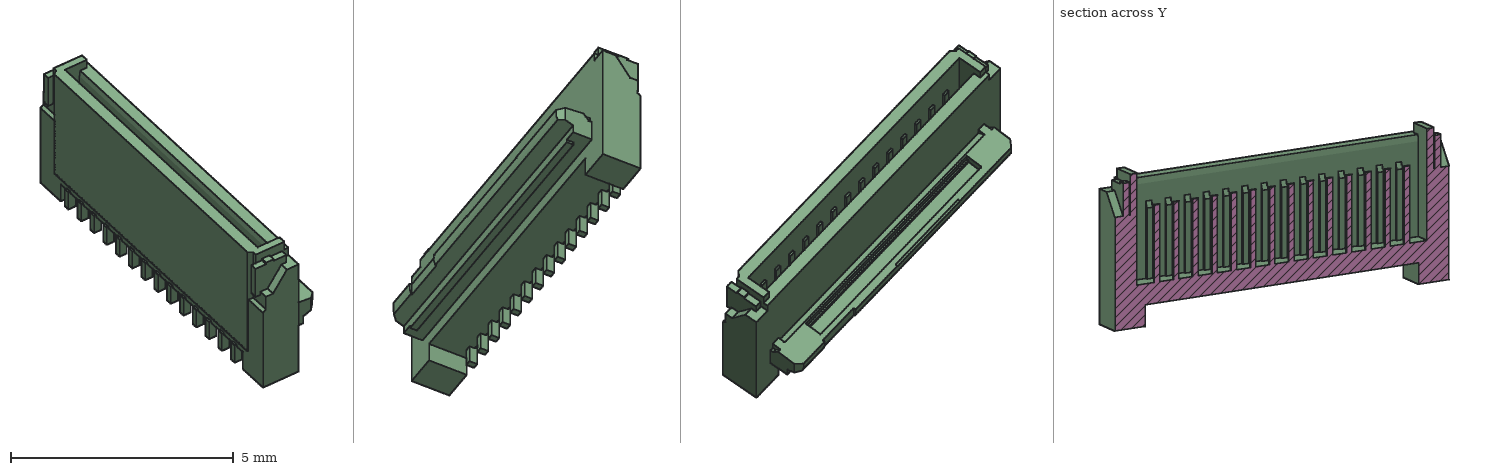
import cadquery as cq


length = 8.7
height = 3.6
front_panel_y = 0.03
post_front_y = 0.055
housing_back_y = 1.03
back_wall_top = 3.37
side_wall_back_y = 0.92
underside_z = 0.5
panel_bottom_z = 0.68
tower_half = 3.955
panel_half = 3.77
corner_setback = 0.085
recess_y = 0.135
leg_inner_x = 3.555

post_top_z = 3.155
slope_top_y = 0.71
slope_bottom_y = 0.33
slope_bottom_z = 2.635
recess_bottom_z = 2.265
post_front_top_z = 2.2

cavity_half = 3.765
cavity_front_y = 0.318
cavity_back_y = 0.715
cavity_floor_z = 1.0
lead_in_back_y = 0.735
lead_in_depth = 0.15

pin_count = 14
pin_pitch = 0.5
pin_width = 0.15
pin_depth = 0.2
pin_bottom_z = 0.05
pin_top_z = 0.553
contact_thickness = 0.055
contact_top_z = 2.8
contact_bevel = 0.15

clip_inner_x = 3.97
clip_outer_x = 4.135
clip_back_y = 0.845
clip_bottom_z = 2.545
clip_bump_front_y = 0.29
clip_bump_back_y = 0.5
clip_bump_height = 0.045

actuator_half = 3.85
actuator_back_y = 1.87
actuator_front_top_z = 1.55
actuator_back_top_z = 1.475
actuator_bottom_z = 0.84
heel_y = 1.515
heel_z = 1.045
nose_y = 1.84
nose_bottom_z = 1.175
nose_top_z = 1.29
actuator_corner = 0.15
foot_front_y = 1.34
foot_bottom_z = 0.77
foot_half = 3.56
ear_inner_x = 3.767
ear_back_y = 1.25
ear_front_y = 1.11
ear_bottom_z = 1.375
bevel_half = 3.56
bevel_back_y = 1.21
bevel_bottom_z = 1.417
window_half = 2.87
window_front_y = 1.26
window_ledge_y = 1.31
window_back_y = 1.68
window_ledge_z = 1.4
window_depth = 0.2
window_wall_slant = 0.035
rear_cut_y = 1.815
rear_notch_start_x = 1.85
rear_notch_end_x = 2.95
rear_bevel_start_x = -1.87
rear_bevel_end_x = 0.36
rear_bevel_drop = 0.02

overlap = 0.1


def box(x0, x1, y0, y1, z0, z1):
    return cq.Workplane("XY").box(x1 - x0, y1 - y0, z1 - z0, centered=False).translate((x0, y0, z0))


def yz_prism(x0, x1, profile):
    """Extrude a (y, z) outline from x0 to x1."""
    return cq.Workplane("YZ").polyline(profile).close().extrude(x1 - x0).translate((x0, 0, 0))


def both_ends(body):
    return body.union(body.mirror("YZ"))


def make_tower():
    """Central block with bevelled front corners, stepped top and mating cavity."""
    bevel_x = panel_half + corner_setback
    plan = [
        (-panel_half, front_panel_y),
        (panel_half, front_panel_y),
        (bevel_x, recess_y),
        (tower_half, recess_y),
        (tower_half, housing_back_y),
        (-tower_half, housing_back_y),
        (-tower_half, recess_y),
        (-bevel_x, recess_y),
    ]
    tower = cq.Workplane("XY").polyline(plan).close().extrude(height - underside_z)
    tower = tower.translate((0, 0, underside_z))
    tower = tower.cut(box(-tower_half, tower_half, 0, post_front_y, underside_z, panel_bottom_z))
    tower = tower.cut(box(-tower_half, tower_half, side_wall_back_y, housing_back_y, back_wall_top, height))
    tower = tower.cut(box(-cavity_half, cavity_half, cavity_back_y, housing_back_y, back_wall_top, height))
    tower = tower.cut(box(-cavity_half, cavity_half, cavity_front_y, cavity_back_y, cavity_floor_z, height))
    lead_in = yz_prism(-cavity_half, cavity_half, [
        (cavity_back_y, back_wall_top - lead_in_depth),
        (lead_in_back_y, back_wall_top),
        (cavity_back_y, back_wall_top),
    ])
    panel_edge = box(panel_half, tower_half, 0, post_front_y, underside_z, post_front_top_z)
    return tower.cut(lead_in).cut(both_ends(panel_edge))


def make_posts():
    """End posts with a sloping shoulder, standing on wider legs."""
    profile = [
        (post_front_y, 0),
        (housing_back_y, 0),
        (housing_back_y, post_top_z),
        (slope_top_y, post_top_z),
        (slope_bottom_y, slope_bottom_z),
        (recess_y, slope_bottom_z),
        (recess_y, recess_bottom_z),
        (post_front_y, post_front_top_z),
    ]
    post = yz_prism(cavity_half, length / 2, profile)
    leg = box(leg_inner_x, length / 2, post_front_y, housing_back_y, 0, panel_bottom_z)
    return both_ends(post.union(leg))


def make_clips():
    """Thin plates beside the tower, each with a small raised bump on top."""
    plate = box(clip_inner_x, clip_outer_x, 0, clip_back_y, clip_bottom_z, back_wall_top)
    bump_top_z = back_wall_top + clip_bump_height
    bump = box(clip_inner_x, clip_outer_x, clip_bump_front_y, clip_bump_back_y, clip_bottom_z, bump_top_z)
    return both_ends(plate.union(bump))


def make_pin(x):
    """One solder pin with its two contacts inside the cavity."""
    x0 = x - pin_width / 2
    x1 = x + pin_width / 2
    pin = box(x0, x1, 0, pin_depth, pin_bottom_z, pin_top_z)
    contact_base_z = cavity_floor_z - overlap
    front_contact = box(
        x0, x1, cavity_front_y - overlap, cavity_front_y + contact_thickness, contact_base_z, contact_top_z
    )
    back_contact_y = cavity_back_y - contact_thickness
    back_contact = yz_prism(x0, x1, [
        (back_contact_y, contact_base_z),
        (cavity_back_y + overlap, contact_base_z),
        (cavity_back_y + overlap, contact_top_z),
        (cavity_back_y, contact_top_z),
        (back_contact_y, contact_top_z - contact_bevel),
    ])
    return pin.union(front_contact).union(back_contact)


def actuator_top_z(y):
    """Height of the actuator's gently falling top face at depth y."""
    fraction = (y - housing_back_y) / (actuator_back_y - housing_back_y)
    return actuator_front_top_z + fraction * (actuator_back_top_z - actuator_front_top_z)


def make_actuator():
    """Bar behind the housing with bevelled ends, a top window and rear cuts."""
    front_y = housing_back_y - overlap
    body = yz_prism(-actuator_half, actuator_half, [
        (front_y, actuator_bottom_z),
        (heel_y, actuator_bottom_z),
        (heel_y, heel_z),
        (nose_y, nose_bottom_z),
        (actuator_back_y, nose_top_z),
        (actuator_back_y, actuator_back_top_z),
        (housing_back_y, actuator_front_top_z),
        (front_y, actuator_front_top_z),
    ])
    corner_cut = cq.Workplane("XY").polyline([
        (actuator_half - actuator_corner, actuator_back_y),
        (actuator_half, actuator_back_y - actuator_corner),
        (actuator_half, actuator_back_y),
    ]).close().extrude(height)
    ear_cut = yz_prism(ear_inner_x, actuator_half, [
        (housing_back_y, ear_bottom_z),
        (ear_front_y, ear_bottom_z),
        (ear_back_y, actuator_top_z(ear_back_y)),
        (ear_back_y, height),
        (housing_back_y, height),
    ])
    body = body.cut(both_ends(corner_cut)).cut(both_ends(ear_cut))

    front_bevel = yz_prism(-bevel_half, bevel_half, [
        (housing_back_y, bevel_bottom_z),
        (bevel_back_y, actuator_top_z(bevel_back_y)),
        (bevel_back_y, height),
        (housing_back_y, height),
    ])
    ledge = box(-window_half, window_half, window_front_y, window_ledge_y, window_ledge_z, height)
    window = yz_prism(-window_half, window_half, [
        (window_ledge_y, height),
        (window_ledge_y, actuator_top_z(window_ledge_y) - window_depth),
        (window_back_y - window_wall_slant, actuator_top_z(window_back_y) - window_depth),
        (window_back_y, actuator_top_z(window_back_y)),
        (window_back_y, height),
    ])
    rear_notch = box(rear_notch_start_x, rear_notch_end_x, rear_cut_y, actuator_back_y, 0, height)
    rear_bevel = yz_prism(rear_bevel_start_x, rear_bevel_end_x, [
        (rear_cut_y, height),
        (rear_cut_y, actuator_top_z(rear_cut_y)),
        (actuator_back_y, actuator_back_top_z - rear_bevel_drop),
        (actuator_back_y, height),
    ])
    for cutter in (front_bevel, ledge, window, rear_notch, rear_bevel):
        body = body.cut(cutter)
    foot = box(-foot_half, foot_half, foot_front_y, heel_y, foot_bottom_z, actuator_bottom_z + overlap)
    return body.union(foot)


result = make_tower().union(make_posts()).union(make_clips()).union(make_actuator())
for index in range(pin_count):
    result = result.union(make_pin((index - (pin_count - 1) / 2) * pin_pitch))